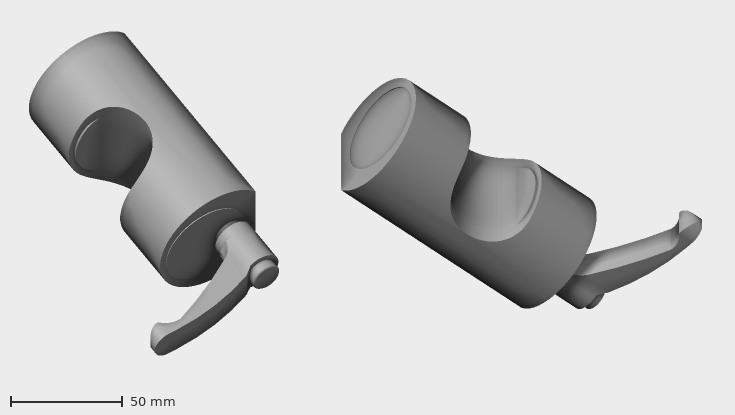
import cadquery as cq
import math


body_length = 107.3
body_radius = 58.0 / 2
flat_y = 22.0

seat_x = body_length / 2
seat_y = -22.9
seat_radius = 21.0

insert_y = -5.0
insert_radius = 21.0
insert_shift = 0.5
insert_seat_y = -19.5
insert_seat_radius = 19.9

screw_y = 7.5
screw_radius = 6.9
screw_end_x = 138.8
screw_chamfer = 0.5
hub_start_x = 111.1
hub_end_x = 134.0
hub_radius = 9.3

arm_start_x = 116.0
arm_end_x = 146.0
arm_half_width = 7.0
sleeve_top_y = 6.9
sleeve_radius = hub_radius + 0.1
shoulder_y = 1.9
neck_x = 137.4
neck_y = -2.5
pinch_x = 141.6
pinch_y = -40.5
tip_start_x = 137.8
tip_start_y = -50.0
tip_y = tip_start_y - arm_half_width
tip_corner_radius = 1.0
tip_nose_radius = 6.4
back_bulge = (143.0, -19.7)
back_end_y = -45.3
hook_bulge = (140.9, -45.8)
ridge_half_width = 1.8

edge_underside = (0.5, (121.0, -1.9), (124.1, -5.4), (132.1, -19.4))
ridge_underside = (-2.5, (120.7, -3.6), (124.1, -6.9), (131.7, -19.9))


def rod(center_y, radius, start_x, end_x):
    """Round bar along X, centred on Z = 0."""
    return (
        cq.Workplane("YZ", origin=(start_x, center_y, 0))
        .circle(radius)
        .extrude(end_x - start_x)
    )


def saddle(center_y, radius):
    """Vertical U-shaped cutter, round at the back and open towards -Y."""
    return (
        cq.Workplane("XY")
        .moveTo(seat_x - radius, center_y)
        .threePointArc((seat_x, center_y + radius), (seat_x + radius, center_y))
        .lineTo(seat_x + radius, -2 * body_radius)
        .lineTo(seat_x - radius, -2 * body_radius)
        .close()
        .extrude(body_radius, both=True)
    )


def make_body():
    """Flatted bar with the tube seat, a recessed insert face on the left and a proud one on the right."""
    bar = rod(0, body_radius, 0, body_length)
    back = cq.Workplane("XY").box(
        body_length, body_radius, 2 * body_radius, centered=(False, False, True)
    )
    bar = bar.cut(back.translate((0, flat_y, 0)))
    bar = bar.cut(saddle(seat_y, seat_radius))
    bar = bar.cut(rod(insert_y, insert_radius, 0, insert_shift))
    return bar.union(rod(insert_y, insert_radius, body_length, body_length + insert_shift))


def make_seat_pads():
    """Crescents of the insert that stand inside the wider seat of the body."""
    core = rod(insert_y, insert_radius, insert_shift, body_length)
    pads = core.intersect(saddle(seat_y, seat_radius))
    return pads.cut(saddle(insert_seat_y, insert_seat_radius))


def make_screw_and_hub():
    """Chamfered screw carrying the wider hub of the lever."""
    screw = rod(screw_y, screw_radius, body_length, screw_end_x)
    screw = screw.faces(">X").chamfer(screw_chamfer)
    return screw.union(rod(screw_y, hub_radius, hub_start_x, hub_end_x))


def arm_outline(plane, underside):
    """Closed outline of the arm, for one of the underside curves."""
    start_y, bend_point, bend_end, sweep_point = underside
    nose_x = tip_start_x + tip_nose_radius
    nose_y = tip_y + tip_nose_radius
    return (
        plane.moveTo(arm_start_x, sleeve_top_y)
        .lineTo(arm_start_x, start_y)
        .threePointArc(bend_point, bend_end)
        .threePointArc(sweep_point, (pinch_x, pinch_y))
        .threePointArc(hook_bulge, (tip_start_x, tip_start_y))
        .lineTo(tip_start_x, nose_y)
        .radiusArc((nose_x, tip_y), -tip_nose_radius)
        .lineTo(arm_end_x - tip_corner_radius, tip_y)
        .radiusArc((arm_end_x, tip_y + tip_corner_radius), -tip_corner_radius)
        .lineTo(arm_end_x, back_end_y)
        .threePointArc(back_bulge, (neck_x, neck_y))
        .lineTo(hub_end_x, shoulder_y)
        .lineTo(hub_end_x, sleeve_top_y)
        .close()
    )


def make_arm_envelope():
    """Cross-section along the arm: a sleeve on the hub, blended into an even bar with a round tip."""
    drop = screw_y - neck_y
    blend_radius = (drop**2 + arm_half_width**2 - sleeve_radius**2) / (2 * (sleeve_radius - arm_half_width))
    blend_z = arm_half_width + blend_radius
    lean = math.atan2(drop, blend_z)

    def on_sleeve(angle):
        return screw_y - sleeve_radius * math.sin(angle), sleeve_radius * math.cos(angle)

    def on_blend(angle):
        return neck_y + blend_radius * math.sin(angle), blend_z - blend_radius * math.cos(angle)

    sleeve_start = math.asin((screw_y - sleeve_top_y) / sleeve_radius)
    half = (
        cq.Workplane("YZ", origin=(arm_start_x, 0, 0))
        .moveTo(sleeve_top_y, 0)
        .lineTo(*on_sleeve(sleeve_start))
        .threePointArc(on_sleeve((sleeve_start + lean) / 2), on_sleeve(lean))
        .threePointArc(on_blend(lean / 2), (neck_y, arm_half_width))
        .lineTo(tip_start_y, arm_half_width)
        .radiusArc((tip_y, 0), -arm_half_width)
        .close()
        .extrude(arm_end_x - arm_start_x)
    )
    return half.union(half.mirror("XY"))


def make_arm():
    """Curved arm whose underside slopes from both edges up to a flat central ridge."""
    ridge = arm_outline(cq.Workplane("XY"), ridge_underside).extrude(ridge_half_width, both=True)
    slope = arm_outline(cq.Workplane("XY", origin=(0, 0, ridge_half_width)), ridge_underside)
    slope = slope.workplane(offset=arm_half_width - ridge_half_width)
    slope = arm_outline(slope, edge_underside).loft(ruled=True, combine=True)
    cheek = arm_outline(cq.Workplane("XY", origin=(0, 0, arm_half_width)), edge_underside)
    cheek = cheek.extrude(sleeve_radius - arm_half_width)
    side = slope.union(cheek)
    arm = ridge.union(side).union(side.mirror("XY"))
    return arm.intersect(make_arm_envelope())


result = make_body().union(make_seat_pads()).union(make_screw_and_hub()).union(make_arm())